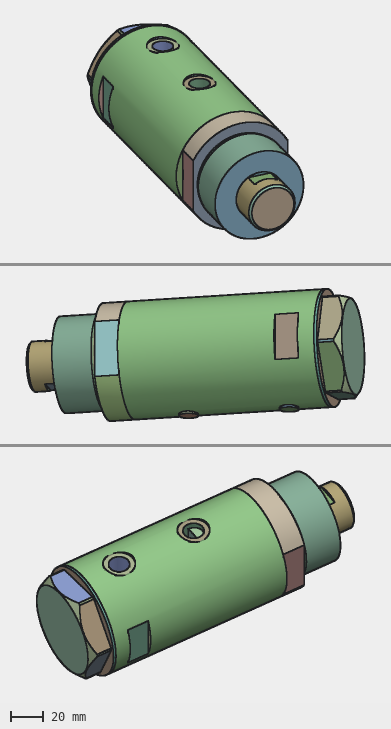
import cadquery as cq
import math

total_length = 203.5
body_diameter = 73.0
body_radius = body_diameter / 2

cap_hex_end = 14.2
cap_flange_end = 16.0
hex_across_flats = 60.0
hex_corner_radius = 34.2
cap_turn = 112.5
cap_face_radius = 29.7
cap_chamfer_length = 4.0

housing_end = 140.5
bore_radius = 22.4
wrench_slot_start = 26.5
wrench_slot_end = 41.3
wrench_slot_flat_width = 67.2

port_positions = (41.3, 95.5)
port_radius = 6.5
spotface_radius = 10.0
spotface_depth = 1.32

pad_positions = (40.5, 104.2)
pad_diameter = 12.0
pad_height = 1.0

gland_start = 95.7
gland_spigot_radius = 31.7
gland_flange_end = 155.9
gland_flat_width = 64.1
relief_radius = 29.3
relief_end = 157.5
relief_fillet = 1.6
collar_diameter = 60.0
collar_radius = collar_diameter / 2
collar_start = 158.7
collar_end = 183.5

piston_start = 42.3
rod_radius = 15.7
rod_tip_chamfer = 1.5
rod_flat_width = 27.3
rod_flat_end = 193.3
piston_length = 30.5

piston_end = piston_start + piston_length


def revolved(profile):
    """Solid turned about the X axis from (X, radius) points."""
    return cq.Workplane("XZ").polyline(profile).close().revolve(360, (0, 0, 0), (1, 0, 0))


def cylinder(start, end, radius):
    """Solid cylinder on the X axis between two X positions."""
    return revolved([(start, 0), (start, radius), (end, radius), (end, 0)])


def outside_flats(start, end, flat_width):
    """Two blocks that leave a pair of parallel flats, flat_width apart, facing +Y and -Y."""
    length = end - start
    block_width = body_radius
    block = cq.Workplane("XY").box(length, block_width, 2 * body_radius)
    middle = (start + end) / 2
    offset = (flat_width + block_width) / 2
    return block.translate((middle, offset, 0)).union(block.translate((middle, -offset, 0)))


def make_cap():
    """Hexagon head with a chamfered face, a thin round flange and a spigot into the bore."""
    hex_across_corners = hex_across_flats / math.cos(math.pi / 6)
    hexagon = cq.Workplane("YZ").polygon(6, hex_across_corners).extrude(cap_hex_end)
    turned_limit = revolved([
        (0, 0),
        (0, cap_face_radius),
        (cap_chamfer_length, hex_corner_radius),
        (cap_hex_end, hex_corner_radius),
        (cap_hex_end, 0),
    ])
    head = hexagon.intersect(turned_limit)
    flange = cylinder(cap_hex_end, cap_flange_end, body_radius)
    spigot = cylinder(cap_flange_end, piston_start, bore_radius)
    cap = head.union(flange).union(spigot)
    return cap.rotate((0, 0, 0), (1, 0, 0), cap_turn)


def make_housing():
    """Stepped tube with wrench slots, two spotfaced ports on top and two pads below."""
    housing = cylinder(cap_flange_end, housing_end, body_radius)
    for position in pad_positions:
        pad = (
            cq.Workplane("XY")
            .workplane(offset=-body_radius - pad_height)
            .center(position, 0)
            .circle(pad_diameter / 2)
            .extrude(body_radius - bore_radius)
        )
        housing = housing.union(pad)
    housing = housing.cut(cylinder(cap_flange_end, gland_start, bore_radius))
    housing = housing.cut(cylinder(gland_start, housing_end, gland_spigot_radius))
    housing = housing.cut(outside_flats(wrench_slot_start, wrench_slot_end, wrench_slot_flat_width))
    for position in port_positions:
        port = cq.Workplane("XY").center(position, 0).circle(port_radius).extrude(body_radius)
        spotface = (
            cq.Workplane("XY")
            .workplane(offset=body_radius - spotface_depth)
            .center(position, 0)
            .circle(spotface_radius)
            .extrude(spotface_depth)
        )
        housing = housing.cut(port).cut(spotface)
    return housing


def make_gland():
    """Rod guide: spigot in the housing, flange with two flats, thread relief and collar."""
    gland = revolved([
        (gland_start, rod_radius),
        (gland_start, gland_spigot_radius),
        (housing_end, gland_spigot_radius),
        (housing_end, body_radius),
        (gland_flange_end, body_radius),
        (gland_flange_end, relief_radius),
        (relief_end, relief_radius),
        (collar_start, collar_radius),
        (collar_end, collar_radius),
        (collar_end, rod_radius),
    ])
    margin = relief_fillet / 2
    relief_edge = cq.selectors.BoxSelector(
        (relief_end - margin, -margin, -margin),
        (relief_end + margin, margin, margin),
    )
    gland = gland.edges(relief_edge).fillet(relief_fillet)
    return gland.cut(outside_flats(housing_end, gland_flange_end, gland_flat_width))


def make_piston_rod():
    """Piston and rod in one piece, with two wrench flats and a chamfered tip."""
    piston = cylinder(piston_start, piston_end, bore_radius)
    rod = cylinder(piston_end, total_length, rod_radius).faces(">X").chamfer(rod_tip_chamfer)
    flats = outside_flats(collar_end, rod_flat_end, rod_flat_width).rotate((0, 0, 0), (1, 0, 0), 90)
    return piston.union(rod.cut(flats))


cap = make_cap()
housing = make_housing()
gland = make_gland()
piston_rod = make_piston_rod()

bodies = (cap, housing, gland, piston_rod)
result = cq.Compound.makeCompound([body.solids().val() for body in bodies])